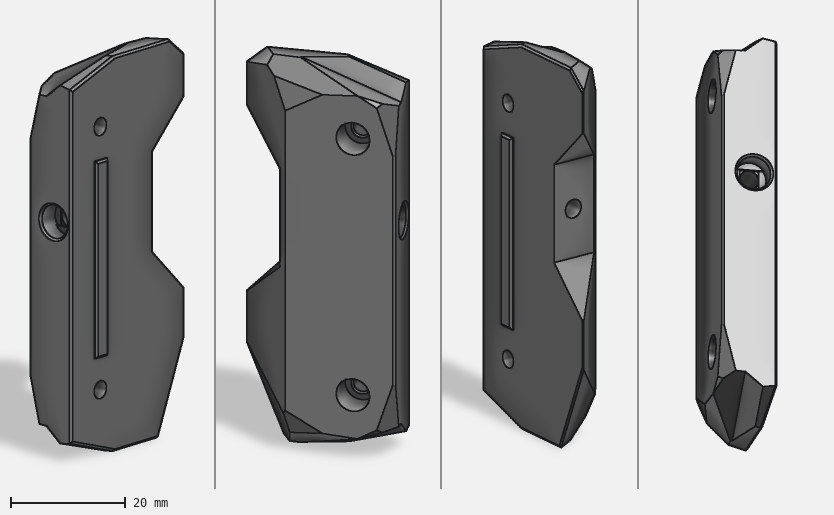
import cadquery as cq

thickness = 9.9
width = 29.31
height = 71.51
half_height = height / 2
edge_chamfer = 0.4
flank_start_y = width - (thickness - edge_chamfer)
cut_reach = 200.0

notch_floor_y = 21.1
notch_center_z = 7.35
notch_floor_height = 18.2

screw_y = 7.6
screw_spacing = 47.6
screw_diameter = 3.2
screw_head_diameter = 6.0
screw_head_depth = 6.0
screw_lead_in = 0.35

clamp_x = 5.75
clamp_diameter = 3.4
clamp_head_diameter = 6.0
clamp_head_depth = 3.5
clamp_lead_in = 0.4
bridge_step = 0.3

rib_length = 35.7
rib_width = 3.2
rib_height = 0.6
rib_chamfer = 0.4

ridge_outer = (5.8, 18.4, half_height)
ridge_back = (6.2, 23.6, half_height)
valley_top = (6.2, 18.4, half_height)
valley_front = (4.13, 0, 29.85)
slope_back = (8.44, 10.6, half_height)
slope_mount = (thickness, 11.4, half_height)
slope_front = (7.3, 0, 32.4)
outer_back = (0, 13.1, 31.46)
outer_mid = (0, 6.73, 31.85)
outer_front = (0, 3.3, 29.9)
outer_low = (0, edge_chamfer, 21.2)
front_corner = (2.45, 0, 29.8)
front_knee = (0.77, 2.48, 30.53)
flank_low = (0, flank_start_y, 27.85)
flank_high = (2.75, 22.56, 33.07)
upper_corner = [ridge_back, (thickness, 25.8, half_height), (thickness, width, 32.8)]
lower_corner = [(thickness, width, 19.95), (thickness, 22.9, half_height), (0.49, 20.3, 28.5)]


def above(points):
    """Block filling the +Z side of the plane through three points."""
    a, b, c = [cq.Vector(*p) for p in points]
    normal = (b - a).cross(c - a).normalized()
    if normal.z < 0:
        normal = normal * -1
    plane = cq.Plane(origin=a.toTuple(), normal=normal.toTuple())
    return cq.Workplane(plane).rect(cut_reach, cut_reach).extrude(cut_reach)


def end_facets(corner):
    """Cutters for all facets of the +Z end, with the given +Y corner facet."""
    valley = above([valley_front, front_corner, outer_mid]).intersect(
        above([valley_top, valley_front, slope_back])
    )
    single_planes = [
        [slope_back, slope_front, slope_mount],
        [ridge_outer, ridge_back, outer_mid],
        [flank_low, outer_back, flank_high],
        [outer_front, outer_low, front_corner],
        [outer_front, outer_mid, front_knee],
        corner,
    ]
    return [valley] + [above(points) for points in single_planes]


def make_body():
    body = (
        cq.Workplane("XY")
        .workplane(offset=-half_height)
        .moveTo(edge_chamfer, 0)
        .lineTo(thickness, 0)
        .lineTo(thickness, width)
        .lineTo(thickness - edge_chamfer, width)
        .lineTo(0, flank_start_y)
        .lineTo(0, edge_chamfer)
        .close()
        .extrude(height)
    )
    for cutter in end_facets(upper_corner):
        body = body.cut(cutter)
    for cutter in end_facets(lower_corner):
        body = body.cut(cutter.mirror("XY"))
    mounting_edges = body.faces(">X").edges("not >Y")
    return mounting_edges.chamfer(edge_chamfer)


def make_notch():
    depth = width - notch_floor_y
    floor_half = notch_floor_height / 2
    mouth_half = floor_half + depth
    return (
        cq.Workplane("YZ")
        .polyline(
            [
                (notch_floor_y, notch_center_z - floor_half),
                (notch_floor_y, notch_center_z + floor_half),
                (width, notch_center_z + mouth_half),
                (width, notch_center_z - mouth_half),
            ]
        )
        .close()
        .extrude(thickness)
    )


def make_screw_hole(z):
    wp = cq.Workplane("YZ", origin=(0, screw_y, z))
    head = wp.circle(screw_head_diameter / 2).extrude(screw_head_depth)
    hole = wp.circle(screw_diameter / 2).extrude(thickness)
    lead_in = (
        wp.workplane(offset=screw_head_depth)
        .circle(screw_diameter / 2 + screw_lead_in)
        .workplane(offset=screw_lead_in)
        .circle(screw_diameter / 2)
        .loft()
    )
    return head.union(hole).union(lead_in)


def make_clamp_hole():
    wp = cq.Workplane("XZ", origin=(clamp_x, 0, notch_center_z))
    head_radius = clamp_head_diameter / 2
    head = wp.circle(head_radius).extrude(-clamp_head_depth)
    hole = wp.circle(clamp_diameter / 2).extrude(-width)
    lead_in = (
        wp.circle(head_radius + clamp_lead_in)
        .workplane(offset=-clamp_lead_in)
        .circle(head_radius)
        .loft()
    )
    slot_depth = clamp_head_depth + bridge_step
    slot = wp.rect(clamp_head_diameter, clamp_diameter).extrude(-slot_depth)
    slot = slot.intersect(wp.circle(head_radius).extrude(-slot_depth))
    square = wp.rect(clamp_diameter, clamp_diameter).extrude(-(slot_depth + bridge_step))
    return head.union(hole).union(lead_in).union(slot).union(square)


def make_rib():
    return (
        cq.Workplane("YZ", origin=(thickness, screw_y, 0))
        .rect(rib_width, rib_length)
        .extrude(rib_height)
        .faces(">X")
        .edges()
        .chamfer(rib_chamfer)
    )


result = make_body().cut(make_notch()).union(make_rib()).cut(make_clamp_hole())
for side in (-1, 1):
    result = result.cut(make_screw_hole(side * screw_spacing / 2))